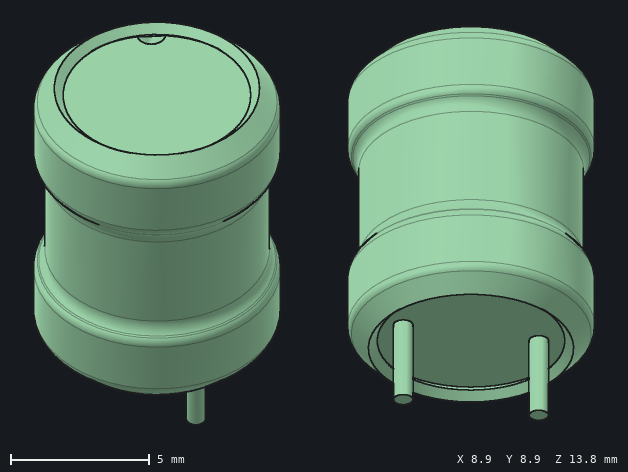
import cadquery as cq
import math

total_height = 13.85
pin_length = 2.5
pin_diameter = 0.7
pin_pitch = 5.0
outer_diameter = 8.9
flange_diameter = 8.0
waist_diameter = 7.2
flange_edge_depth = 0.94
flange_depth = 2.91
face_depth = 0.65
neck_radius = 1.19
notch_radius = 0.51
notch_center_radius = 3.75
notch_angles = (149.0, 329.0)

sleeve_height = total_height - pin_length
middle_z = sleeve_height / 2
flange_radius = flange_diameter / 2
waist_radius = waist_diameter / 2
sleeve_wall = (outer_diameter - flange_diameter) / 2
diagonal = math.sqrt(0.5)
wall_shift = sleeve_wall * diagonal

half_height = sleeve_height / 2
face_z = half_height - face_depth
flange_edge_z = half_height - flange_edge_depth
flange_inner_z = half_height - flange_depth

neck_start_radius = waist_radius + neck_radius * (1 - diagonal)
slope = flange_radius - neck_start_radius
neck_start_z = flange_inner_z - slope
neck_end_z = neck_start_z - neck_radius * diagonal

rim_z = half_height - wall_shift
rim_radius = flange_radius - (rim_z - flange_edge_z)


def neck_middle(radius):
    """Point halfway along a 45 degree neck arc that shares the core neck's center."""
    half_arc = math.radians(22.5)
    center_radius = waist_radius + neck_radius
    return (center_radius - radius * math.cos(half_arc), neck_end_z + radius * math.sin(half_arc))


def corner_middle(center_z, direction):
    """Point halfway along the rounded sleeve corner around a flange corner."""
    half_arc = math.radians(22.5)
    return (
        flange_radius + sleeve_wall * math.cos(half_arc),
        center_z + direction * sleeve_wall * math.sin(half_arc),
    )


def full_body(end_outline, middle_radius):
    """Revolve the upper end, mirror it, and join both ends with a plain cylinder."""
    upper_end = end_outline.close().revolve(360, (0, 0, 0), (0, 1, 0))
    lower_end = upper_end.mirror("XY")
    middle = cq.Workplane("XY").cylinder(2 * neck_end_z, middle_radius)
    return middle.union(upper_end).union(lower_end).translate((0, 0, middle_z))


def make_inner_form(end_z):
    """Solid inside the sleeve, with its end faces at the given height."""
    end_radius = flange_radius - (end_z - flange_edge_z)
    outline = (
        cq.Workplane("XZ")
        .moveTo(0, neck_end_z)
        .lineTo(waist_radius, neck_end_z)
        .threePointArc(neck_middle(neck_radius), (neck_start_radius, neck_start_z))
        .lineTo(flange_radius, flange_inner_z)
        .lineTo(flange_radius, flange_edge_z)
        .lineTo(end_radius, end_z)
        .lineTo(0, end_z)
    )
    return full_body(outline, waist_radius)


def make_outer_form():
    """Sleeve outside, one wall thickness off the core, with conical end recesses."""
    outer_radius = outer_diameter / 2
    sleeve_waist_radius = waist_radius + sleeve_wall
    sloped_radius = flange_radius + wall_shift
    outline = (
        cq.Workplane("XZ")
        .moveTo(0, neck_end_z)
        .lineTo(sleeve_waist_radius, neck_end_z)
        .threePointArc(
            neck_middle(neck_radius - sleeve_wall),
            (neck_start_radius + wall_shift, neck_start_z - wall_shift),
        )
        .lineTo(sloped_radius, flange_inner_z - wall_shift)
        .threePointArc(corner_middle(flange_inner_z, -1), (outer_radius, flange_inner_z))
        .lineTo(outer_radius, flange_edge_z)
        .threePointArc(corner_middle(flange_edge_z, 1), (sloped_radius, flange_edge_z + wall_shift))
        .lineTo(rim_radius + wall_shift, half_height)
        .lineTo(rim_radius, rim_z)
        .lineTo(0, rim_z)
    )
    return full_body(outline, sleeve_waist_radius)


def make_sleeve():
    return make_outer_form().cut(make_inner_form(rim_z)).solids()


def make_core():
    """Core with two conical notches in its upper face."""
    core = make_inner_form(face_z)
    for angle in notch_angles:
        position = cq.Vector(
            notch_center_radius * math.cos(math.radians(angle)),
            notch_center_radius * math.sin(math.radians(angle)),
            middle_z + face_z,
        )
        notch = cq.Solid.makeCone(notch_radius, 0, notch_radius, position, cq.Vector(0, 0, -1))
        core = core.cut(cq.Workplane(notch))
    return core.solids()


def make_pin(x):
    """Pin that ends against the lower face of the core."""
    return (
        cq.Workplane("XY", origin=(x, 0, -pin_length))
        .circle(pin_diameter / 2)
        .extrude(pin_length + face_depth)
    )


sleeve = make_sleeve()
core = make_core()
pins = [make_pin(side * pin_pitch / 2) for side in (-1, 1)]

result = cq.Compound.makeCompound([sleeve.val(), core.val(), *[pin.val() for pin in pins]])